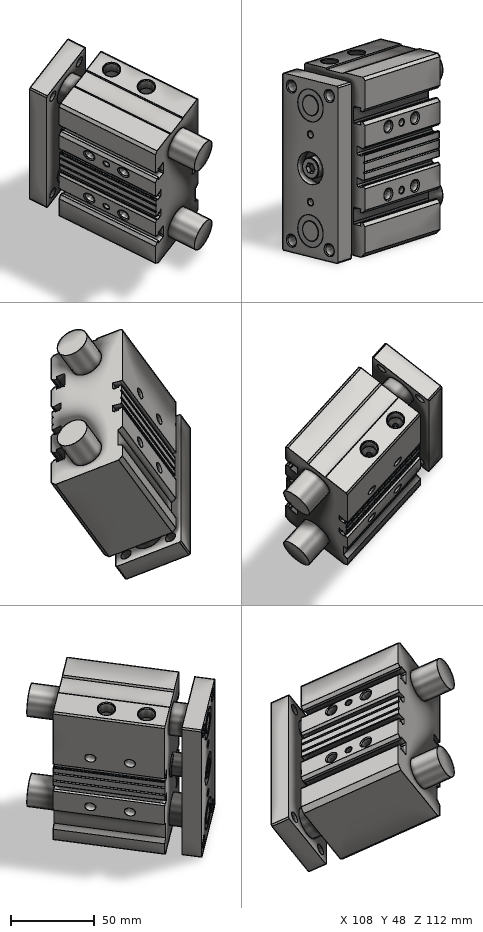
import cadquery as cq
import math


plate_thickness = 12.0
plate_gap = 10.0
housing_length = 67.5
guide_overhang = 18.5
housing_x = plate_thickness + plate_gap
housing_end = housing_x + housing_length
guide_length = housing_end + guide_overhang

housing_width = 48.0
housing_height = 112.0
half_width = housing_width / 2
half_height = housing_height / 2
front_top_bevel = 1.8
back_top_bevel = 1.0
front_bottom_bevel = 3.0
back_bottom_bevel = 2.5
top_groove_front_y = -7.5
top_groove_back_y = 7.0
top_groove_front_wall = 1.2
top_groove_back_wall = 0.5
top_groove_depth = 0.8

t_slot_z = 31.4
t_throat_width = 6.3
t_mouth_bevel = 1.9
t_lip = 3.5
t_head_width = 10.5
t_depth = 9.2
t_head_bevel_depth = 0.5
t_head_bevel_height = 1.3

band_half_height = 8.0
band_inset = 0.6
band_edge_bevel = 0.3
band_groove_z = 3.1
band_groove_width = 1.2
band_groove_depth = 0.7
sensor_mouth_top = 11.6
sensor_mouth_bevel = 1.3
sensor_lip = 1.8
sensor_depth = 6.5
sensor_undercut = 1.0
sensor_back_rise = 0.8

channel_z = -36.3
channel_width = 16.6
channel_floor_width = 12.3
channel_depth = 3.0

middle_x = 55.0
cross_hole_spacing = 24.0
cross_hole_row_spacing = 42.0
cross_hole_z = cross_hole_row_spacing / 2
cross_hole_diameter = 6.6
cross_hole_bevel = 0.7
pin_hole_diameter = 4.0
pin_hole_bevel = 0.3
pin_hole_depth = 6.0

port_x = (34.5, 58.8)
port_y = 15.1
port_diameter = 9.7
port_bevel = 0.6
port_depth = 8.0
pilot_diameter = 3.7
pilot_depth = 4.0
drill_point_half_angle = math.radians(59)

guide_z = 39.0
guide_diameter = 20.0
piston_diameter = 14.0
piston_insertion = 44.8
rim_diameter = 16.0
rim_height = 1.0

head_diameter = 13.1
head_edge_bevel = 0.5
guide_ring_depth = 0.2
piston_recess_depth = 6.0
hex_across_flats = 6.0
hex_depth = 3.1

plate_width = 44.0
plate_height = 110.0
plate_edge_bevel = 0.9
mount_hole_y = 15.0
mount_hole_z = 47.8
mount_hole_diameter = 6.7
mount_hole_bevel = 0.7


def cylinder(start, axis, diameter, length):
    """Cylinder from a start point along an axis."""
    return cq.Workplane(cq.Solid.makeCylinder(diameter / 2, length, cq.Vector(*start), cq.Vector(*axis)))


def cone(start, axis, start_diameter, end_diameter, length):
    """Cone or frustum from a start point along an axis."""
    return cq.Workplane(
        cq.Solid.makeCone(start_diameter / 2, end_diameter / 2, length, cq.Vector(*start), cq.Vector(*axis))
    )


def bevelled_hole(start, axis, diameter, length, bevel):
    """Hole whose entry edge has a 45 degree bevel."""
    hole = cylinder(start, axis, diameter, length)
    return hole.union(cone(start, axis, diameter + 2 * bevel, diameter, bevel))


def point_length(diameter, end_diameter=0.0):
    """Length of a drill point that narrows from one diameter to another."""
    return (diameter - end_diameter) / 2 / math.tan(drill_point_half_angle)


def drilled_hole(start, axis, diameter, depth):
    """Blind hole with a conical drill point."""
    tip = cq.Vector(*start) + cq.Vector(*axis) * depth
    point = cone(tip.toTuple(), axis, diameter, 0, point_length(diameter))
    return cylinder(start, axis, diameter, depth).union(point)


def section_bar(points):
    """Closed outline of (y, z) points, extruded over the housing length."""
    return cq.Workplane("YZ", origin=(housing_x, 0, 0)).polyline(points).close().extrude(housing_length)


def housing_block():
    groove_floor = half_height - top_groove_depth
    return section_bar([
        (-half_width, half_height - front_top_bevel),
        (-half_width + front_top_bevel, half_height),
        (top_groove_front_y, half_height),
        (top_groove_front_y + top_groove_front_wall, groove_floor),
        (top_groove_back_y - top_groove_back_wall, groove_floor),
        (top_groove_back_y, half_height),
        (half_width - back_top_bevel, half_height),
        (half_width, half_height - back_top_bevel),
        (half_width, -half_height + back_bottom_bevel),
        (half_width - back_bottom_bevel, -half_height),
        (-half_width + front_bottom_bevel, -half_height),
        (-half_width, -half_height + front_bottom_bevel),
    ])


def t_slot(center_z):
    half_throat = t_throat_width / 2
    half_head = t_head_width / 2
    upper = [
        (0, half_throat + t_mouth_bevel),
        (t_mouth_bevel, half_throat),
        (t_lip, half_throat),
        (t_lip, half_head),
        (t_depth - t_head_bevel_depth, half_head),
        (t_depth, half_head - t_head_bevel_height),
    ]
    lower = [(depth, -offset) for depth, offset in reversed(upper)]
    return section_bar([(depth - half_width, center_z + offset) for depth, offset in upper + lower])


def sensor_slot(side, direction, mouth_bevel):
    """Slot with a head undercut on its lower edge; side is the sign of its Y face, direction of its Z."""
    inner = direction * band_half_height
    outer = direction * sensor_mouth_top
    bottom, top = min(inner, outer), max(inner, outer)
    head_bottom = bottom - sensor_undercut
    slot = [
        (0, bottom),
        (sensor_lip, bottom),
        (sensor_lip + sensor_undercut, head_bottom),
        (sensor_depth - sensor_undercut, head_bottom),
        (sensor_depth, bottom),
        (sensor_depth, top + sensor_back_rise),
        (sensor_lip, top),
        (0, top),
    ]
    cutter = section_bar([(side * (half_width - depth), z) for depth, z in slot])
    if mouth_bevel:
        bevel = [(0, outer), (mouth_bevel, outer), (0, outer + direction * mouth_bevel)]
        cutter = cutter.union(section_bar([(side * (half_width - depth), z) for depth, z in bevel]))
    return cutter


def sunk_band(side):
    """Strip that lowers the face between the sensor slots, with two V-grooves."""
    outer = side * half_width
    face = side * (half_width - band_inset)
    root = side * (half_width - band_inset - band_groove_depth)
    half_groove = band_groove_width / 2
    bevel_root = side * (half_width - band_inset - band_edge_bevel)
    flat_half_height = band_half_height - band_edge_bevel
    points = [(outer, -band_half_height), (bevel_root, -band_half_height), (face, -flat_half_height)]
    for groove_z in (-band_groove_z, band_groove_z):
        points += [(face, groove_z - half_groove), (root, groove_z), (face, groove_z + half_groove)]
    points += [(face, flat_half_height), (bevel_root, band_half_height), (outer, band_half_height)]
    return section_bar(points)


def back_channel():
    half_mouth = channel_width / 2
    half_floor = channel_floor_width / 2
    floor = half_width - channel_depth
    return section_bar([
        (half_width, channel_z - half_mouth),
        (floor, channel_z - half_floor),
        (floor, channel_z + half_floor),
        (half_width, channel_z + half_mouth),
    ])


def pin_hole(start, axis):
    hole = drilled_hole(start, axis, pin_hole_diameter, pin_hole_depth)
    return hole.union(bevelled_hole(start, axis, pin_hole_diameter, pin_hole_depth, pin_hole_bevel))


def rod_seal_rim():
    """Half ring around the +Y side of the piston rod, standing on the housing's end face."""
    rim = cq.Workplane("YZ", origin=(housing_x - rim_height, 0, 0)).moveTo(0, -rim_diameter / 2)
    rim = rim.threePointArc((rim_diameter / 2, 0), (0, rim_diameter / 2)).close()
    return rim.extrude(rim_height)


def air_port(x, pointed_pilot):
    down = (0, 0, -1)
    seat_length = point_length(port_diameter, pilot_diameter)
    seat_z = half_height - port_depth
    pilot_start = (x, port_y, seat_z - seat_length)
    port = bevelled_hole((x, port_y, half_height), down, port_diameter, port_depth, port_bevel)
    port = port.union(cone((x, port_y, seat_z), down, port_diameter, pilot_diameter, seat_length))
    if pointed_pilot:
        return port.union(drilled_hole(pilot_start, down, pilot_diameter, pilot_depth))
    return port.union(cylinder(pilot_start, down, pilot_diameter, pilot_depth))


def make_housing():
    body = housing_block()
    for direction in (-1, 1):
        body = body.cut(t_slot(direction * t_slot_z))
        body = body.cut(sensor_slot(-1, direction, sensor_mouth_bevel))
        body = body.cut(sensor_slot(1, direction, 0))
    for side in (-1, 1):
        body = body.cut(sunk_band(side))
    body = body.cut(back_channel())
    for z in (-cross_hole_z, cross_hole_z):
        for side in (-1, 1):
            start = (middle_x + side * cross_hole_spacing / 2, -half_width, z)
            body = body.cut(
                bevelled_hole(start, (0, 1, 0), cross_hole_diameter, housing_width, cross_hole_bevel)
            )
        body = body.cut(pin_hole((middle_x, -half_width, z), (0, 1, 0)))
    first_port_x, second_port_x = port_x
    body = body.cut(air_port(first_port_x, False)).cut(air_port(second_port_x, True))
    body = body.union(rod_seal_rim())
    for z in (-guide_z, guide_z):
        body = body.cut(cylinder((housing_x, 0, z), (1, 0, 0), guide_diameter, housing_length))
    bore_length = rim_height + piston_insertion
    return body.cut(cylinder((housing_x - rim_height, 0, 0), (1, 0, 0), piston_diameter, bore_length))


def rod_head(z, length):
    """Round head with a bevelled edge, flush with the outer face of the tool plate."""
    return cylinder((0, 0, z), (1, 0, 0), head_diameter, length).faces("<X").chamfer(head_edge_bevel)


def make_plate():
    plate = cq.Workplane("YZ").rect(plate_width, plate_height).extrude(plate_thickness)
    plate = plate.edges("|X").chamfer(plate_edge_bevel)
    for z in (-mount_hole_z, mount_hole_z):
        for y in (-mount_hole_y, mount_hole_y):
            plate = plate.cut(
                bevelled_hole((0, y, z), (1, 0, 0), mount_hole_diameter, plate_thickness, mount_hole_bevel)
            )
    for z in (-cross_hole_z, cross_hole_z):
        plate = plate.cut(pin_hole((0, 0, z), (1, 0, 0)))
    for z in (-guide_z, guide_z):
        plate = plate.cut(cylinder((0, 0, z), (1, 0, 0), guide_diameter, plate_thickness))
    plate = plate.cut(cylinder((0, 0, 0), (1, 0, 0), guide_diameter, piston_recess_depth))
    return plate.cut(cylinder((0, 0, 0), (1, 0, 0), head_diameter, plate_thickness))


def make_guide_rod(z):
    shaft_length = guide_length - guide_ring_depth
    shaft = cylinder((guide_ring_depth, 0, z), (1, 0, 0), guide_diameter, shaft_length)
    return shaft.union(rod_head(z, plate_thickness))


def make_piston_rod():
    rod_length = plate_gap + piston_insertion
    rod = cylinder((plate_thickness, 0, 0), (1, 0, 0), piston_diameter, rod_length)
    rod = rod.union(rod_head(0, plate_thickness))
    hex_across_corners = hex_across_flats / math.cos(math.pi / 6)
    socket = cq.Workplane("YZ").polygon(6, hex_across_corners).extrude(hex_depth)
    return rod.cut(socket)


housing = make_housing()
plate = make_plate()
guide_rods = [make_guide_rod(z) for z in (-guide_z, guide_z)]
piston_rod = make_piston_rod()

result = cq.Compound.makeCompound([
    housing.val(),
    plate.val(),
    *[rod.val() for rod in guide_rods],
    piston_rod.val(),
])